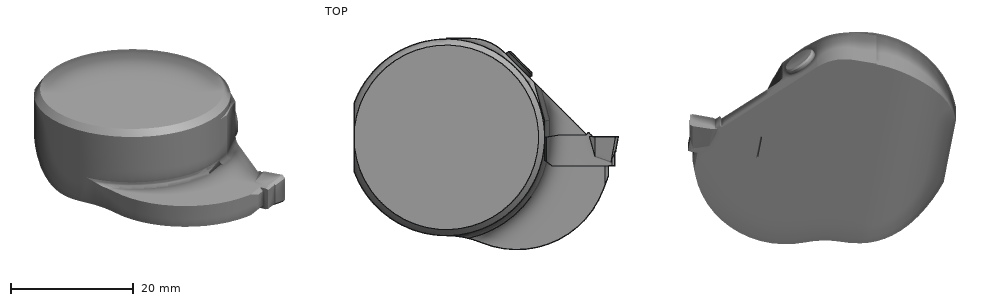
import cadquery as cq
import math

half_corner = math.radians(22.5)
cos_45 = math.sqrt(0.5)
cutter_reach = 51.6

disc_radius = 16.0
disc_height = 13.7
rim_chamfer = 1.0
flat_x = -(disc_radius - rim_chamfer)
heel_height = 6.8
heel_blend_radius = 12.0

shoulder_y = 16.12
shoulder_blend_radius = 8.0
shoulder_top = 11.65
diagonal_sum = 23.25
shoulder_end_x = 14.28
shoulder_bend_y = 2.65
shoulder_end_y = diagonal_sum - shoulder_end_x

plate_thickness = 3.75
plate_radius = 15.0
neck_radius = 15.0
plate_bottom_y = -18.28
plate_center_y = plate_bottom_y + plate_radius
neck_center_y = -(disc_radius + neck_radius)
plate_center_x = math.sqrt((neck_radius + plate_radius) ** 2 - (plate_center_y - neck_center_y) ** 2)
plate_fillet = 0.8
path_overrun = 1.5
plate_tangent_x = 25.5
plate_end_x = 26.4
plate_end_bevel = 0.55

boss_diameter = 5.5
boss_projection = 0.8
boss_chamfer = 0.25
boss_z = 5.6
boss_root = 1.7

insert_mid_z = plate_thickness / 2
shank_start_x = disc_radius
shank_end_x = 27.4
shank_bottom_y = -4.65
shank_top_y = 0.35
shank_lead_run = 2.15
shank_corner_x = 17.2
shank_corner_y = -3.75
start_bevel_run = 0.3
start_bevel_drop = 1.08
end_bevel_run = 0.45
end_bevel_drop = 0.17
bump_x = 23.15
bump_y = 0.8
ledge_y = -2.35
edge_y = 0.15
head_start_x = 23.25
head_ramp_x = 24.15
overall_length = 43
tip_x = overall_length + flat_x
head_ramp_half = 2.32
head_nose_half = 2.45
nose_chamfer = 0.47
side_relief = 0.14
end_relief = 0.18


def make_disc():
    return (
        cq.Workplane("XZ")
        .polyline([
            (0, 0),
            (-disc_radius, 0),
            (-disc_radius, disc_height - rim_chamfer),
            (flat_x, disc_height),
            (0, disc_height),
        ])
        .close()
        .revolve(360, (0, 0, 0), (0, 1, 0))
    )


def make_shoulder():
    corner_x = diagonal_sum - shoulder_y
    blend_length = shoulder_blend_radius * math.tan(half_corner)
    blend_drop = blend_length * cos_45
    blend_center = (corner_x - blend_length, shoulder_y - shoulder_blend_radius)
    blend_middle = (
        blend_center[0] + shoulder_blend_radius * math.sin(half_corner),
        blend_center[1] + shoulder_blend_radius * math.cos(half_corner),
    )
    prism = (
        cq.Workplane("XY")
        .moveTo(0, 0)
        .lineTo(0, shoulder_y)
        .lineTo(corner_x - blend_length, shoulder_y)
        .threePointArc(blend_middle, (corner_x + blend_drop, shoulder_y - blend_drop))
        .lineTo(shoulder_end_x, shoulder_end_y)
        .lineTo(disc_radius, shoulder_bend_y)
        .lineTo(disc_radius, 0)
        .close()
        .extrude(shoulder_top)
    )
    cone = (
        cq.Workplane("XZ")
        .polyline([
            (0, 0),
            (disc_radius + shoulder_top, 0),
            (disc_radius, shoulder_top),
            (0, shoulder_top),
        ])
        .close()
        .revolve(360, (0, 0, 0), (0, 1, 0))
    )
    return prism.intersect(cone)


def plate_prism(height):
    share = neck_radius / (neck_radius + plate_radius)
    neck_end = (plate_center_x * share, neck_center_y + (plate_center_y - neck_center_y) * share)
    lean = math.asin(neck_end[0] / neck_radius)
    neck_middle = (
        neck_radius * math.sin(lean / 2),
        neck_center_y + neck_radius * math.cos(lean / 2),
    )
    arc_dx = plate_tangent_x - plate_center_x
    arc_dy = math.sqrt(plate_radius ** 2 - arc_dx ** 2)
    arc_end = (plate_tangent_x, plate_center_y - arc_dy)
    tangent_rise = (plate_end_x - plate_tangent_x) * arc_dx / arc_dy
    return (
        cq.Workplane("XY")
        .moveTo(0, -disc_radius)
        .threePointArc(neck_middle, neck_end)
        .threePointArc((plate_center_x, plate_bottom_y), arc_end)
        .lineTo(plate_end_x, arc_end[1] + tangent_rise)
        .lineTo(plate_end_x, diagonal_sum - plate_end_x)
        .lineTo(shoulder_end_x, shoulder_end_y)
        .lineTo(0, 0)
        .close()
        .extrude(height)
    )


def make_plate_fillet():
    """Concave fillet swept along the foot of the shoulder and disc walls."""
    wall_dx = disc_radius - shoulder_end_x
    wall_dy = shoulder_end_y - shoulder_bend_y
    start = (disc_radius - path_overrun * wall_dx, shoulder_bend_y + path_overrun * wall_dy)
    diagonal_reach = disc_radius * cos_45
    path = (
        cq.Workplane("XY", origin=(0, 0, plate_thickness))
        .moveTo(*start)
        .lineTo(disc_radius, shoulder_bend_y)
        .lineTo(disc_radius, 0)
        .threePointArc((diagonal_reach, -diagonal_reach), (0, -disc_radius))
    )
    profile_plane = cq.Plane(
        origin=(start[0], start[1], plate_thickness),
        xDir=(wall_dy, wall_dx, 0),
        normal=(wall_dx, -wall_dy, 0),
    )
    arc_inset = plate_fillet * (1 - cos_45)
    fillet = (
        cq.Workplane(profile_plane)
        .moveTo(0, 0)
        .lineTo(plate_fillet, 0)
        .threePointArc((arc_inset, arc_inset), (0, plate_fillet))
        .close()
        .sweep(path, transition="right")
    )
    return fillet.intersect(plate_prism(plate_thickness + plate_fillet))


def end_bevels(end_x, run, drop):
    """Cutters that bevel an end at end_x on its upper and lower side; run is along X, inward."""
    upper = (
        cq.Workplane("XZ")
        .polyline([
            (end_x, plate_thickness),
            (end_x + run, plate_thickness),
            (end_x, plate_thickness - drop),
        ])
        .close()
        .extrude(cutter_reach, both=True)
    )
    return upper.union(upper.mirror("XY", (0, 0, insert_mid_z)))


def make_boss():
    wall_distance = diagonal_sum * cos_45
    root_offset = (wall_distance - boss_root) * cos_45
    plane = cq.Plane(
        origin=(root_offset, root_offset, boss_z),
        xDir=(0, 0, 1),
        normal=(1, 1, 0),
    )
    boss = cq.Workplane(plane).circle(boss_diameter / 2).extrude(boss_root + boss_projection)
    outer_face = cq.selectors.DirectionMinMaxSelector(cq.Vector(1, 1, 0))
    return boss.faces(outer_face).chamfer(boss_chamfer)


def make_heel_cutter():
    """Material below the 45 degree underside and its blend into the flat bottom."""
    bottom_x = flat_x + heel_height
    tangent_length = heel_blend_radius * math.tan(half_corner)
    tangent_drop = tangent_length * cos_45
    blend_end_x = bottom_x + tangent_length
    blend_middle = (
        blend_end_x - heel_blend_radius * math.sin(half_corner),
        heel_blend_radius * (1 - math.cos(half_corner)),
    )
    return (
        cq.Workplane("XZ")
        .moveTo(flat_x, 0)
        .lineTo(flat_x, heel_height)
        .lineTo(bottom_x - tangent_drop, tangent_drop)
        .threePointArc(blend_middle, (blend_end_x, 0))
        .close()
        .extrude(cutter_reach, both=True)
    )


def shank_prism(bottom_z, top_z):
    return (
        cq.Workplane("XY", origin=(0, 0, bottom_z))
        .polyline([
            (shank_start_x, 0),
            (shank_start_x + shank_lead_run, shank_top_y),
            (bump_x - (bump_y - shank_top_y), shank_top_y),
            (bump_x, bump_y),
            (bump_x + (bump_y - edge_y), edge_y),
            (shank_end_x, edge_y),
            (shank_end_x, shank_bottom_y),
            (shank_corner_x, shank_bottom_y),
            (shank_start_x, shank_corner_y),
        ])
        .close()
        .extrude(top_z - bottom_z)
    )


def make_housing():
    housing = make_disc().union(make_shoulder())
    plate_bevels = end_bevels(plate_end_x, -plate_end_bevel, plate_end_bevel)
    housing = housing.union(plate_prism(plate_thickness).cut(plate_bevels))
    housing = housing.union(make_plate_fillet()).union(make_boss())
    flat_cutter = (
        cq.Workplane("XY")
        .box(cutter_reach, cutter_reach, cutter_reach)
        .translate((flat_x - cutter_reach / 2, 0, 0))
    )
    housing = housing.cut(flat_cutter).cut(make_heel_cutter())
    return housing.cut(shank_prism(0, plate_thickness + plate_fillet))


def head_section(distance):
    """Wire of the cutting head, parallel to XZ, at a distance behind the cutting edge."""
    thinning = side_relief * distance
    shortening = end_relief * distance
    upper = [
        (head_start_x, insert_mid_z - thinning),
        (head_ramp_x, head_ramp_half - thinning),
        (tip_x - nose_chamfer - shortening, head_nose_half - thinning),
        (tip_x - shortening, head_nose_half - nose_chamfer - thinning),
    ]
    lower = [(x, -z) for x, z in reversed(upper)]
    corners = [cq.Vector(x, edge_y - distance, insert_mid_z + z) for x, z in upper + lower]
    return cq.Wire.makePolygon(corners, close=True)


def make_insert():
    shank = (
        shank_prism(0, plate_thickness)
        .cut(end_bevels(shank_start_x, start_bevel_run, start_bevel_drop))
        .cut(end_bevels(shank_end_x, -end_bevel_run, end_bevel_drop))
    )
    sections = [head_section(0), head_section(edge_y - shank_bottom_y)]
    head = cq.Workplane(cq.Solid.makeLoft(sections, True))
    step = (
        cq.Workplane("XY")
        .box(tip_x - shank_end_x, ledge_y - shank_bottom_y, cutter_reach, centered=(False, False, True))
        .translate((shank_end_x, shank_bottom_y, insert_mid_z))
    )
    return shank.union(head.cut(step))


housing = make_housing()
insert = make_insert()
result = cq.Compound.makeCompound([housing.val(), insert.val()])